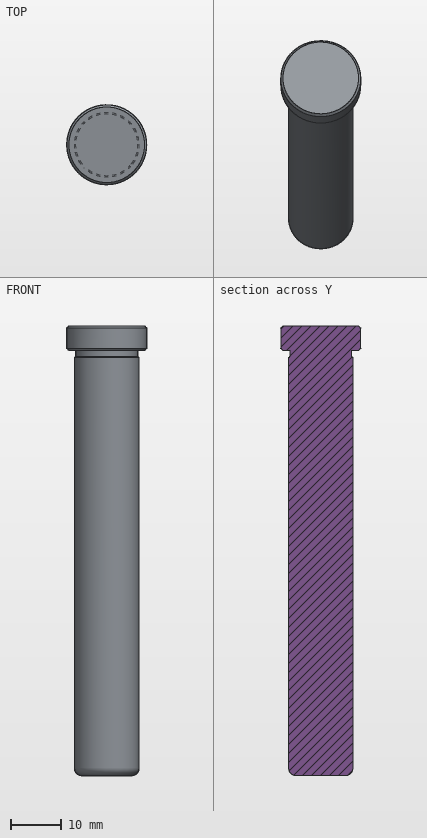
import cadquery as cq

total_length = 90.0
head_diameter = 16.0
head_height = 4.95
shaft_diameter = 13.0

head_edge_chamfer = 0.45
tip_fillet = 1.5

undercut_depth = 0.3
undercut_width = 1.2
undercut_taper = 0.3

head_bottom = total_length - head_height
undercut_bottom = head_bottom - undercut_width


def make_head():
    """Round head with both rims chamfered."""
    disc = cq.Workplane("XY", origin=(0, 0, head_bottom)).circle(head_diameter / 2).extrude(head_height)
    return disc.edges().chamfer(head_edge_chamfer)


def make_shaft():
    """Revolved shaft with a rounded tip and a shallow undercut below the head."""
    radius = shaft_diameter / 2
    neck_radius = radius - undercut_depth
    shaft = (
        cq.Workplane("XZ")
        .lineTo(radius, 0)
        .lineTo(radius, undercut_bottom - undercut_taper)
        .lineTo(neck_radius, undercut_bottom)
        .lineTo(neck_radius, head_bottom)
        .lineTo(0, head_bottom)
        .close()
        .revolve(360, (0, 0), (0, 1))
    )
    return shaft.faces("<Z").edges().fillet(tip_fillet)


result = make_shaft().union(make_head())